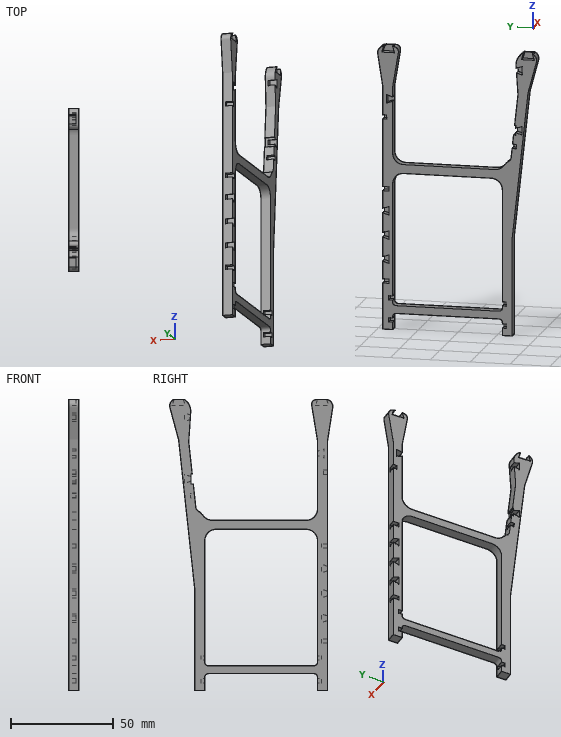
import cadquery as cq
import math

thickness = 5.0
height = 142.23
overall_width = 79.78
half_width = 32.5
leg_width = 5.0
half_opening = half_width - leg_width

lower_bar_bottom = 8.2
lower_bar_top = 12.15
lower_bar_radius = 1.7
upper_bar_bottom = 78.7
upper_bar_top = 83.2
upper_bar_radius = 5.5

neck_z = 122.0
head_outer_y = 35.05
head_outer_radius = 3.5
head_outer_top_y = 31.4
head_inner_y = 24.6
head_inner_radius = 2.5
head_inner_top_y = 27.2

bend_z = 49.5
lean_slope = 0.108
lean_neck_outer_z = 122.5
lean_neck_inner_z = 121.5
lean_leg_width = 4.95
lean_head_outer_y = head_outer_y - overall_width
lean_head_outer_radius = 3.4
lean_head_outer_top_y = -42.6
lean_head_inner_y = -34.35
lean_head_inner_radius = 7.0
lean_head_inner_top_y = -37.5

bracket_start_y = -23.8
bracket_lower_mid = (-26.4, 83.85)
bracket_ramp_start = (-28.5, 85.7)
bracket_ramp_end = (-29.9, 87.2)
bracket_upper_mid = (-31.2, 88.1)
bracket_top_z = 89.3

relief_bottom = 101.0
relief_top = 105.8
relief_floor_y = -34.25

slot_depth_x = 3.6
dovetail_depth = 3.1
dovetail_mouth = 2.2
dovetail_floor = 4.2
notch_height = 2.1
shallow_notch_depth = 2.0
deep_notch_depth = 3.1
head_slot_mouth = 4.6
head_slot_floor = 6.4
head_slot_y = 29.75
lean_head_slot_y = -40.3

outer_dovetail_z = (35.3, 47.4, 59.6)
outer_deep_notch_z = (24.2, 70.6)
outer_shallow_notch_z = 106.6
foot_notch_z = (4.8, 15.9)
inner_dovetail_z = 115.8
relief_dovetail_z = 103.4
lean_head_dovetail_z = 133.5
lean_notch_z = 95.4

INTO_PLUS_Y = 0
INTO_MINUS_Y = 180
DOWN = -90
INTO_LEANING_LEG = INTO_MINUS_Y + math.degrees(math.atan(lean_slope))


def lean_outer_y(z):
    return -half_width - lean_slope * (z - bend_z)


def lean_inner_y(z):
    return lean_outer_y(z) + lean_leg_width


class Corner:
    """Arc from the flat top of a head to its flank; side is +1 on the +Y flank, -1 on the -Y flank."""

    def __init__(self, extreme_y, radius, top_y, side, neck):
        self.radius = radius
        self.y = extreme_y - side * radius
        self.z = height - math.sqrt(radius**2 - (top_y - self.y) ** 2)
        self.top = (top_y, height)
        away_y = side * (neck[0] - self.y)
        away_z = neck[1] - self.z
        flank_angle = math.atan2(away_z, away_y) + math.acos(radius / math.hypot(away_y, away_z))
        top_angle = math.atan2(height - self.z, side * (top_y - self.y))
        self.flank = self.point(side, flank_angle)
        self.middle = self.point(side, (flank_angle + top_angle) / 2)

    def point(self, side, angle):
        return (
            self.y + side * self.radius * math.cos(angle),
            self.z + self.radius * math.sin(angle),
        )


def frame_outline():
    neck_outer = (half_width, neck_z)
    neck_inner = (half_opening, neck_z)
    lean_neck_inner = (lean_inner_y(lean_neck_inner_z), lean_neck_inner_z)
    lean_neck_outer = (lean_outer_y(lean_neck_outer_z), lean_neck_outer_z)
    outer = Corner(head_outer_y, head_outer_radius, head_outer_top_y, 1, neck_outer)
    inner = Corner(head_inner_y, head_inner_radius, head_inner_top_y, -1, neck_inner)
    lean_inner = Corner(
        lean_head_inner_y, lean_head_inner_radius, lean_head_inner_top_y, 1, lean_neck_inner
    )
    lean_outer = Corner(
        lean_head_outer_y, lean_head_outer_radius, lean_head_outer_top_y, -1, lean_neck_outer
    )
    bracket_top = (lean_inner_y(bracket_top_z), bracket_top_z)
    return (
        cq.Workplane("YZ")
        .moveTo(half_opening, 0)
        .lineTo(half_width, 0)
        .lineTo(*neck_outer)
        .lineTo(*outer.flank)
        .threePointArc(outer.middle, outer.top)
        .lineTo(*inner.top)
        .threePointArc(inner.middle, inner.flank)
        .lineTo(*neck_inner)
        .lineTo(half_opening, upper_bar_top + upper_bar_radius)
        .radiusArc((half_opening - upper_bar_radius, upper_bar_top), upper_bar_radius)
        .lineTo(bracket_start_y, upper_bar_top)
        .threePointArc(bracket_lower_mid, bracket_ramp_start)
        .lineTo(*bracket_ramp_end)
        .threePointArc(bracket_upper_mid, bracket_top)
        .lineTo(*lean_neck_inner)
        .lineTo(*lean_inner.flank)
        .threePointArc(lean_inner.middle, lean_inner.top)
        .lineTo(*lean_outer.top)
        .threePointArc(lean_outer.middle, lean_outer.flank)
        .lineTo(*lean_neck_outer)
        .lineTo(-half_width, bend_z)
        .lineTo(-half_width, 0)
        .lineTo(-half_opening, 0)
        .lineTo(-half_opening, lower_bar_bottom - lower_bar_radius)
        .radiusArc((-half_opening + lower_bar_radius, lower_bar_bottom), lower_bar_radius)
        .lineTo(half_opening - lower_bar_radius, lower_bar_bottom)
        .radiusArc((half_opening, lower_bar_bottom - lower_bar_radius), lower_bar_radius)
        .close()
    )


def window():
    opening = (
        cq.Workplane("YZ")
        .moveTo(0, (lower_bar_top + upper_bar_bottom) / 2)
        .rect(2 * half_opening, upper_bar_bottom - lower_bar_top)
        .extrude(thickness)
    )
    opening = opening.edges("|X and >Z").fillet(upper_bar_radius)
    return opening.edges("|X and <Z").fillet(lower_bar_radius)


def relief():
    width = abs(relief_floor_y)
    block = cq.Workplane("XY").box(thickness, width, relief_top - relief_bottom, centered=False)
    return block.translate((0, relief_floor_y, relief_bottom))


def slot(y, z, direction, depth, mouth, floor):
    """Trapezoid slot with its mouth centred on (y, z), cut along the given direction."""
    profile = [(0, -mouth / 2), (depth, -floor / 2), (depth, floor / 2), (0, mouth / 2)]
    return (
        cq.Workplane("YZ")
        .polyline(profile)
        .close()
        .extrude(slot_depth_x)
        .rotate((0, 0, 0), (1, 0, 0), direction)
        .translate((0, y, z))
    )


def dovetail(y, z, direction):
    return slot(y, z, direction, dovetail_depth, dovetail_mouth, dovetail_floor)


def notch(y, z, direction, depth):
    return slot(y, z, direction, depth, notch_height, notch_height)


def head_slot(y):
    return slot(y, height, DOWN, dovetail_depth, head_slot_mouth, head_slot_floor)


body = frame_outline().extrude(thickness).cut(window()).cut(relief())

cutters = [head_slot(head_slot_y), head_slot(lean_head_slot_y)]
for z in outer_dovetail_z:
    cutters.append(dovetail(half_width, z, INTO_MINUS_Y))
for z in outer_deep_notch_z:
    cutters.append(notch(half_width, z, INTO_MINUS_Y, deep_notch_depth))
for z in foot_notch_z:
    cutters.append(notch(half_opening, z, INTO_PLUS_Y, shallow_notch_depth))
    cutters.append(notch(-half_opening, z, INTO_MINUS_Y, shallow_notch_depth))
cutters.append(notch(half_width, outer_shallow_notch_z, INTO_MINUS_Y, shallow_notch_depth))
cutters.append(dovetail(half_opening, inner_dovetail_z, INTO_PLUS_Y))
cutters.append(dovetail(relief_floor_y, relief_dovetail_z, INTO_MINUS_Y))
cutters.append(dovetail(lean_head_inner_y, lean_head_dovetail_z, INTO_MINUS_Y))
cutters.append(notch(lean_inner_y(lean_notch_z), lean_notch_z, INTO_LEANING_LEG, shallow_notch_depth))

for cutter in cutters:
    body = body.cut(cutter)

result = body